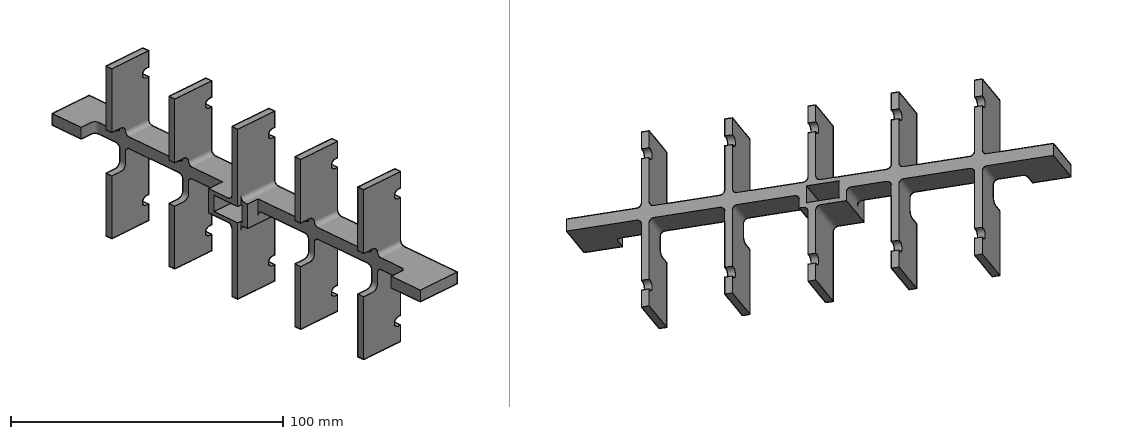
import cadquery as cq

length = 190.0
depth = 19.4
bar_thickness = 5.0
bar_bottom = 0.0
bar_top = bar_bottom + bar_thickness
back_y = depth / 2
front_y = -depth / 2
strip_depth = 12.2
strip_front_y = back_y - strip_depth
tab_length = 15.0

fin_count = 5
fin_pitch = 32.5
fin_thickness = 3.0
fin_height = 71.5
middle_fin_x = -0.8
fin_right_x = middle_fin_x + fin_thickness / 2

hub_left = -14.2
hub_right = 4.2
hub_top = bar_top
hub_bottom = -5.3
side_wall = 2.8
flat_wall = 1.7
hub_step = 1.7

clearance_height = 18.2
clearance_radius = 2.5
notch_width = 4.0
notch_depth = 3.2
notch_z = 26.8

corner_radius = 1.9


def block(x_range, y_range, z_range):
    """Box between two limits on each axis."""
    sizes = [high - low for low, high in (x_range, y_range, z_range)]
    lows = (x_range[0], y_range[0], z_range[0])
    return cq.Workplane("XY").box(*sizes, centered=False).translate(lows)


def inside_fillet(x, z, x_side, z_side):
    """Concave fillet along Y; the sides (+1 or -1) point into the open quadrant."""
    arc_x = x + x_side * corner_radius
    arc_z = z + z_side * corner_radius
    x_range = sorted((x, arc_x))
    z_range = sorted((z, arc_z))
    rod = (
        cq.Workplane("XZ", origin=(arc_x, back_y, arc_z))
        .circle(corner_radius)
        .extrude(depth)
    )
    return block(x_range, (front_y, back_y), z_range).cut(rod)


def fin(x):
    """Upright fin with a round-ended notch near each end of its back edge."""
    plate = cq.Workplane("XY").box(fin_thickness, depth, fin_height)
    notches = (
        cq.Workplane("YZ")
        .pushPoints([(depth / 2, notch_z), (depth / 2, -notch_z)])
        .slot2D(2 * notch_depth, notch_width)
        .extrude(fin_thickness, both=True)
    )
    return plate.cut(notches).translate((x, 0, 0))


def fin_fillets(x, upper_z, lower_z):
    """Four fillets where a fin meets the faces above and below."""
    fillets = cq.Workplane("XY")
    for side in (-1, 1):
        face_x = x + side * fin_thickness / 2
        fillets = fillets.add(inside_fillet(face_x, upper_z, side, 1))
        fillets = fillets.add(inside_fillet(face_x, lower_z, side, -1))
    return fillets.vals()


def front_clearance(x_range, tab_edges):
    """Cutter opening the front of the bar and fins between a tab and the hub."""
    y_range = (-depth, strip_front_y)
    hub_center_z = (hub_top + hub_bottom) / 2
    z_range = (hub_center_z - clearance_height / 2, hub_center_z + clearance_height / 2)
    fin_shape = block(x_range, y_range, z_range).edges("|X and >Y").fillet(clearance_radius)
    bar_shape = block(x_range, y_range, z_range).edges(tab_edges).fillet(corner_radius)
    return fin_shape.intersect(bar_shape)


half_length = length / 2
full_y = (front_y, back_y)
body = block((-half_length, half_length), full_y, (bar_bottom, bar_top))
body = body.union(block((hub_left, hub_right), full_y, (hub_bottom, hub_top)))
body = body.union(inside_fillet(hub_left, bar_bottom, -1, -1))
body = body.union(inside_fillet(hub_right, bar_bottom, 1, -1))

for index in range(fin_count):
    offset = index - fin_count // 2
    fin_x = middle_fin_x + offset * fin_pitch
    root_bottom = hub_bottom if offset == 0 else bar_bottom
    body = body.union(fin(fin_x))
    for fillet in fin_fillets(fin_x, bar_top, root_bottom):
        body = body.union(cq.Workplane(fillet))

tab_inner_x = half_length - tab_length
body = body.cut(front_clearance((-tab_inner_x, hub_left), "|Z and >Y and <X"))
body = body.cut(front_clearance((hub_right, tab_inner_x), "|Z and >Y and >X"))

step_z = (hub_bottom - corner_radius, hub_top + corner_radius)
body = body.cut(block((fin_right_x, hub_right), (-depth, front_y + hub_step), step_z))

window_x = (hub_left + side_wall, hub_right - side_wall)
window_z = (hub_bottom + flat_wall, hub_top - flat_wall)
result = body.cut(block(window_x, (-depth, depth), window_z))